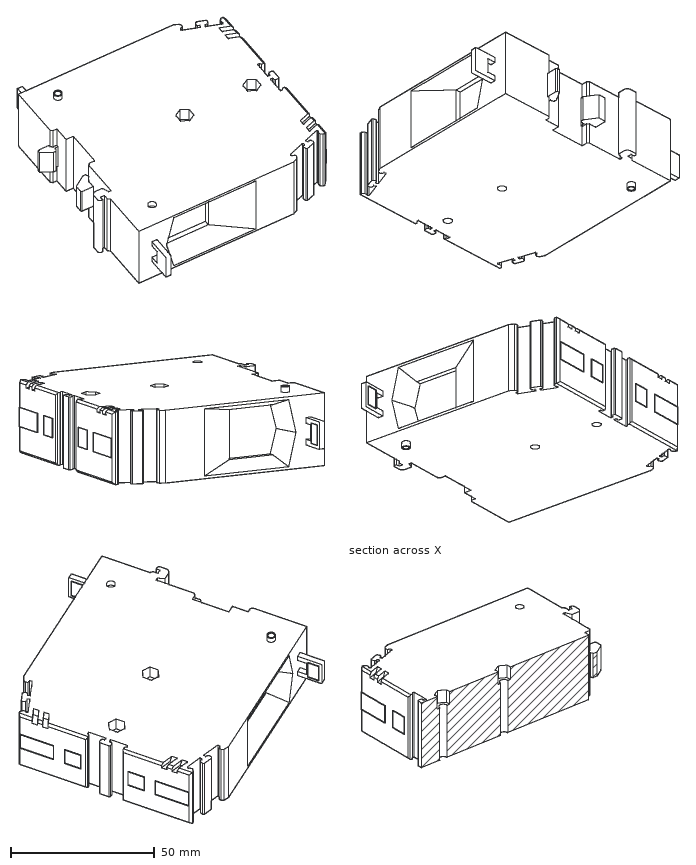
import cadquery as cq
import math

THICKNESS = 26.0
HALF_THICKNESS = THICKNESS / 2
HALF_WIDTH = 39.6
HEIGHT = 81.4

KEY_FLOOR = 78.5
KEY_HEIGHT = HEIGHT - KEY_FLOOR
KEY_STEM = 1.8
KEY_HEAD_WIDTH = 4.3
KEY_HEAD_HEIGHT = 2.0
KEY_HEAD_CHAMFER = 0.4

SLOPE_TOP = (-30.8, 78.9)
SLOPE_FOOT = (-35.9, 64.8)
SHOULDER_KEY_Y = 72.1

STRIP_CHAMFER = 0.9
STRIP_INNER_END = 6.9
STRIP_OUTER_END = 33.5

NOTCH_WIDTH = 2.1
NOTCH_PITCH = 4.0
NOTCH_DEPTH = 2.0
NOTCH_END_Y = 76.5
NOTCH_END_RUN = 1.0
NOTCH_FIRST_X = -29.8

PAD_HEIGHT = 0.3
STRIP_PAD_DEPTH = 6.9
STRIP_PADS = ((-32.5, -19.7), (-15.4, -9.1))
TAB_PAD = (-47.8, -43.6)
TAB_PAD_DEPTH = 7.3

NUT_FLATS = 5.5
NUT_DEPTH = 5.0
BOLT_DIAMETER = 3.2
NUT_HEIGHTS = (43.8, 71.4)

FUNNEL_DEPTH = 8.0
FUNNEL_STEP = 2.0
FUNNEL_MOUTH_TOP = 48.2
FUNNEL_MOUTH_BOTTOM = 14.4
FUNNEL_MOUTH_TIP = 11.5
FUNNEL_MOUTH_HALF = 12.0
FUNNEL_FLOOR_TOP = 33.7
FUNNEL_FLOOR_BOTTOM = 16.2
FUNNEL_FLOOR_TIP = 13.7
FUNNEL_FLOOR_HALF = 8.9

PIN_X = 31.0
PIN_Y = 10.9
PIN_DIAMETER = 3.0
PIN_LENGTH = 2.01
PIN_RECESS_DIAMETER = 2.4
PIN_RECESS_DEPTH = 0.2
SOCKET_DEPTH = 2.2

TAB_END = 49.0
TAB_BOTTOM = 5.4
TAB_TOP = 7.4
TAB_WIDTH = 9.8
TAB_CORNER = 0.4
TAB_SLOT_END = 42.9
TAB_SLOT_WIDTH = 5.7

RAIL_SEAT = 2.4
RAIL_RECESS = 5.3
EDGE_CHAMFER = 0.7
LEFT_CLIP_WALL = -18.0
MIDDLE_CLIP_WALL = 2.2
FOOT_RADIUS = 1.7
FOOT_TOE_RADIUS = 1.0
CLIP_WIDTH = 9.8


def plate(points, depth):
    """Prism of an XY outline, centred on the middle plane."""
    return cq.Workplane("XY").polyline(points).close().extrude(depth / 2, both=True)


def block(x_range, y_range, depth):
    """Box between two X and two Y values, centred on the middle plane."""
    x0, x1 = x_range
    y0, y1 = y_range
    return plate([(x0, y0), (x1, y0), (x1, y1), (x0, y1)], depth)


def mirrored(shape):
    """The same shape on the opposite side of the housing."""
    return shape.mirror("YZ")


def base_outline():
    """Underside from left to right: rail seat, rail recess and hooked rail foot."""
    return [
        (-HALF_WIDTH, 0),
        (LEFT_CLIP_WALL - EDGE_CHAMFER, 0),
        (LEFT_CLIP_WALL, EDGE_CHAMFER),
        (LEFT_CLIP_WALL, RAIL_SEAT),
        (-12.0, RAIL_SEAT),
        (-12.0, RAIL_RECESS),
        (MIDDLE_CLIP_WALL, RAIL_RECESS),
        (MIDDLE_CLIP_WALL, RAIL_SEAT + EDGE_CHAMFER),
        (MIDDLE_CLIP_WALL + EDGE_CHAMFER, RAIL_SEAT),
        (17.5, RAIL_SEAT),
        (17.5, 1.4),
        (15.0, 0.4),
        (15.0, -4.0),
        (19.8, -4.0),
        (19.8, -2.45),
        (18.3, -2.45),
        (18.3, -0.9),
        (20.2, -0.9),
        (21.1, 0),
        (HALF_WIDTH, 0),
    ]


def left_shoulder_outline():
    """Left shoulder from the side wall up to the key floor in the middle."""
    return [
        (-HALF_WIDTH, 63.9),
        (-38.7, 65.8),
        (-37.7, 66.2),
        (-36.9, 66.0),
        (-36.75, 65.0),
        SLOPE_FOOT,
        SLOPE_TOP,
        (-31.3, 79.2),
        (-31.8, 78.9),
        (-32.8, 78.9),
        (-STRIP_OUTER_END, 79.8),
        (-STRIP_OUTER_END, 80.6),
        (-32.6, HEIGHT),
        (-7.35, HEIGHT),
        (-STRIP_INNER_END, 80.9),
        (-STRIP_INNER_END, 79.8),
        (-7.5, 79.3),
        (-7.5, KEY_FLOOR),
    ]


def housing_block():
    left = left_shoulder_outline()
    right = [(-x, y) for x, y in left]
    body = plate(base_outline() + right + left[::-1], THICKNESS)
    heel = cq.selectors.NearestToPointSelector((15.0, -4.0, 0))
    toe = cq.selectors.NearestToPointSelector((19.8, -4.0, 0))
    return body.edges("|Z").edges(heel).fillet(FOOT_RADIUS).edges("|Z").edges(toe).fillet(FOOT_TOE_RADIUS)


def key_rail(root, tilt):
    """T-shaped rib standing on the point root, tilted anticlockwise in degrees."""
    stem = block((-KEY_STEM / 2, KEY_STEM / 2), (-KEY_STEM / 2, KEY_HEIGHT), THICKNESS)
    head = block(
        (-KEY_HEAD_WIDTH / 2, KEY_HEAD_WIDTH / 2),
        (KEY_HEIGHT - KEY_HEAD_HEIGHT, KEY_HEIGHT),
        THICKNESS,
    )
    head = head.edges("|Z").chamfer(KEY_HEAD_CHAMFER)
    rail = stem.union(head)
    return rail.rotate((0, 0, 0), (0, 0, 1), tilt).translate((*root, 0))


SLOPE_RUN = (SLOPE_TOP[0] - SLOPE_FOOT[0]) / (SLOPE_TOP[1] - SLOPE_FOOT[1])


def slope_x(y):
    """X of the left sloping shoulder at height y."""
    return SLOPE_FOOT[0] + (y - SLOPE_FOOT[1]) * SLOPE_RUN


def strip_chamfer(side):
    """Wedge that bevels the top strips' long edge; side is +1 or -1 in Z."""
    z_edge = side * HALF_THICKNESS
    wedge = [
        (HEIGHT - STRIP_CHAMFER, z_edge),
        (HEIGHT, z_edge),
        (HEIGHT, z_edge - side * STRIP_CHAMFER),
    ]
    length = STRIP_OUTER_END - KEY_HEAD_WIDTH
    strip = cq.Workplane("YZ").workplane(offset=-STRIP_OUTER_END).polyline(wedge).close()
    return strip.extrude(length)


def strip_notch(x_end):
    """Slanted notch with a sloping inner end, open at the top of the strip."""
    rise = HEIGHT + PAD_HEIGHT - NOTCH_END_Y
    lean = rise * SLOPE_RUN
    plan = [
        (x_end, NOTCH_END_Y),
        (x_end + NOTCH_WIDTH, NOTCH_END_Y),
        (x_end + NOTCH_WIDTH + lean, NOTCH_END_Y + rise),
        (x_end + lean, NOTCH_END_Y + rise),
    ]
    floor_z = HALF_THICKNESS - NOTCH_DEPTH
    profile = [
        (NOTCH_END_Y, HALF_THICKNESS),
        (NOTCH_END_Y + NOTCH_END_RUN, floor_z),
        (NOTCH_END_Y + rise, floor_z),
        (NOTCH_END_Y + rise, HALF_THICKNESS),
    ]
    column = plate(plan, 2 * THICKNESS)
    bed = cq.Workplane("YZ").workplane(offset=-HALF_WIDTH).polyline(profile).close().extrude(HALF_WIDTH)
    return column.intersect(bed)


def strip_pad(x_range):
    return block(x_range, (HEIGHT - PAD_HEIGHT, HEIGHT + PAD_HEIGHT), STRIP_PAD_DEPTH)


def nut_pocket(y):
    """Hexagonal pocket in the upper face with a through hole at its centre."""
    upper_face = cq.Workplane("XY", origin=(0, y, HALF_THICKNESS))
    hexagon = upper_face.polygon(6, NUT_FLATS / math.cos(math.pi / 6)).extrude(-NUT_DEPTH)
    return hexagon.union(upper_face.circle(BOLT_DIAMETER / 2).extrude(-THICKNESS))


def funnel_outline(top, bottom, tip, half):
    """Rectangle with a pointed lower end, as (y, z) points."""
    return [(top, half), (bottom, half), (tip, 0), (bottom, -half), (top, -half)]


def wire_funnel():
    """Tapered entry in the left side with a straight step at its inner end."""
    mouth = funnel_outline(FUNNEL_MOUTH_TOP, FUNNEL_MOUTH_BOTTOM, FUNNEL_MOUTH_TIP, FUNNEL_MOUTH_HALF)
    floor = funnel_outline(FUNNEL_FLOOR_TOP, FUNNEL_FLOOR_BOTTOM, FUNNEL_FLOOR_TIP, FUNNEL_FLOOR_HALF)
    side = cq.Workplane("YZ", origin=(-HALF_WIDTH, 0, 0))
    taper = side.polyline(mouth).close().workplane(offset=FUNNEL_DEPTH).polyline(floor).close()
    taper = taper.loft(ruled=True)
    step = side.workplane(offset=FUNNEL_DEPTH).polyline(floor).close().extrude(FUNNEL_STEP)
    return taper.union(step)


def pin_socket():
    """Blind hole in the upper face, opposite the lower pin."""
    face = cq.Workplane("XY", origin=(PIN_X, PIN_Y, HALF_THICKNESS))
    return face.circle(PIN_DIAMETER / 2).extrude(-SOCKET_DEPTH)


def make_housing():
    body = housing_block()
    shoulder_root = (slope_x(SHOULDER_KEY_Y), SHOULDER_KEY_Y)
    shoulder_tilt = 90 - math.degrees(math.atan(SLOPE_RUN))
    shoulder_key = key_rail(shoulder_root, shoulder_tilt)
    body = body.union(key_rail((0, KEY_FLOOR), 0)).union(shoulder_key).union(mirrored(shoulder_key))
    cuts = [strip_chamfer(side) for side in (1, -1)]
    cuts += [strip_notch(NOTCH_FIRST_X + i * NOTCH_PITCH) for i in range(2)]
    cuts.append(wire_funnel())
    for cut in cuts:
        body = body.cut(cut).cut(mirrored(cut))
    for x_range in STRIP_PADS:
        pad = strip_pad(x_range)
        body = body.union(pad).union(mirrored(pad))
    for y in NUT_HEIGHTS:
        body = body.cut(nut_pocket(y))
    return body.cut(pin_socket())


def make_pin(side):
    """Pin standing on the upper (+1) or lower (-1) face, with a shallow recess in its tip."""
    face = cq.Workplane("XY", origin=(-side * PIN_X, PIN_Y, side * HALF_THICKNESS))
    shank = face.circle(PIN_DIAMETER / 2).extrude(side * PIN_LENGTH)
    tip = face.workplane(offset=side * (PIN_LENGTH - PIN_RECESS_DEPTH))
    recess = tip.circle(PIN_RECESS_DIAMETER / 2).extrude(side * PIN_RECESS_DEPTH)
    return shank.cut(recess)


def make_left_tab():
    """U-shaped tab whose two prongs meet the housing wall."""
    tab = block((-TAB_END, -HALF_WIDTH), (TAB_BOTTOM, TAB_TOP), TAB_WIDTH)
    tab = tab.edges("|Y and <X").fillet(TAB_CORNER)
    slot = block((-TAB_SLOT_END, -HALF_WIDTH), (TAB_BOTTOM, TAB_TOP), TAB_SLOT_WIDTH)
    pad = block(TAB_PAD, (TAB_TOP, TAB_TOP + PAD_HEIGHT), TAB_PAD_DEPTH)
    return tab.cut(slot).union(pad)


def make_left_clip():
    """Barbed clip beside the left wall of the rail seat."""
    outline = [
        (LEFT_CLIP_WALL - EDGE_CHAMFER, 0),
        (LEFT_CLIP_WALL, EDGE_CHAMFER),
        (LEFT_CLIP_WALL, RAIL_SEAT),
        (-17.15, RAIL_SEAT),
        (-17.15, 1.0),
        (-16.4, 1.0),
        (-15.7, 0.5),
        (-15.7, -0.5),
        (-18.1, -4.7),
        (-19.1, -4.7),
        (-19.4, -4.0),
        (-19.4, 0),
    ]
    return plate(outline, CLIP_WIDTH)


def make_middle_clip():
    """Barbed clip beside the right wall of the rail recess."""
    outline = [
        (1.5, RAIL_RECESS),
        (MIDDLE_CLIP_WALL, RAIL_RECESS),
        (MIDDLE_CLIP_WALL, RAIL_SEAT + EDGE_CHAMFER),
        (MIDDLE_CLIP_WALL + EDGE_CHAMFER, RAIL_SEAT),
        (5.9, RAIL_SEAT),
        (5.9, -2.4),
        (5.6, -2.6),
        (2.7, -2.6),
        (2.3, -2.1),
        (-0.5, 2.1),
        (-0.5, 3.1),
        (0.9, 3.7),
        (1.5, 3.7),
    ]
    return plate(outline, CLIP_WIDTH)


housing = make_housing()
pins = [make_pin(side) for side in (1, -1)]
left_tab = make_left_tab()
tabs = [left_tab, mirrored(left_tab)]
left_clip = make_left_clip()
middle_clip = make_middle_clip()

bodies = [housing, *pins, *tabs, left_clip, middle_clip]
result = cq.Compound.makeCompound([body.val() for body in bodies])